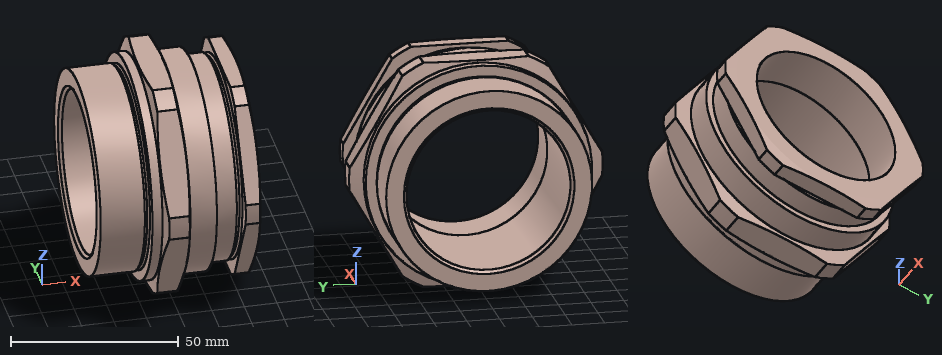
import cadquery as cq
import math


thread_length = 13.6
groove_x = 14.5
collar_start = 15.2
hex_start = 18.3
hex_end = 27.0
housing_end = 35.1
nut_thread_end = 41.8
nut_groove_x = 42.9
nut_hex_start = 43.55
total_length = 48.9

thread_radius = 31.5
groove_radius = 30.55
nut_groove_radius = 30.3
groove_shoulder_radius = 31.2
collar_radius = 34.6
sleeve_radius = 33.95
hex_flats = 70.5
hex_corner_radius = 38.75
nut_flats = 64.95
nut_corner_radius = 35.7
nut_face_radius = 32.25
bore_radius = 25.0
bore_mouth_radius = 26.05
bore_mouth_depth = bore_mouth_radius - bore_radius

corner_chamfer_slope = math.tan(math.radians(15))


def turned(profile):
    """Revolve a closed (x, radius) profile about the X axis."""
    return cq.Workplane("XY").polyline(profile).close().revolve(360, (0, 0), (1, 0))


def hexagon(start, end, flats, corner_radius, start_radius, end_radius):
    """Hexagon with flats facing +-Z, turned corners and end faces coned down to the given radii."""
    across_corners = flats / math.cos(math.radians(30))
    prism = (
        cq.Workplane("YZ", origin=(start, 0, 0))
        .polygon(6, across_corners)
        .extrude(end - start)
    )
    envelope = [(start, 0), (start, start_radius)]
    if start_radius < corner_radius:
        start_chamfer = (corner_radius - start_radius) * corner_chamfer_slope
        envelope.append((start + start_chamfer, corner_radius))
    end_chamfer = (corner_radius - end_radius) * corner_chamfer_slope
    envelope += [(end - end_chamfer, corner_radius), (end, end_radius), (end, 0)]
    return prism.intersect(turned(envelope))


def make_housing():
    barrel = turned([
        (0, 0),
        (0, thread_radius),
        (thread_length, thread_radius),
        (groove_x, groove_radius),
        (collar_start, groove_shoulder_radius),
        (collar_start, collar_radius),
        (hex_start, collar_radius),
        (hex_start, sleeve_radius),
        (housing_end, sleeve_radius),
        (housing_end, 0),
    ])
    wrench_hex = hexagon(hex_start, hex_end, hex_flats, hex_corner_radius, collar_radius, sleeve_radius)
    bore = turned([
        (0, 0),
        (0, bore_mouth_radius),
        (bore_mouth_depth, bore_radius),
        (housing_end, bore_radius),
        (housing_end, 0),
    ])
    return barrel.union(wrench_hex).cut(bore)


def make_sealing_nut():
    barrel = turned([
        (housing_end, 0),
        (housing_end, thread_radius),
        (nut_thread_end, thread_radius),
        (nut_groove_x, nut_groove_radius),
        (nut_hex_start, groove_shoulder_radius),
        (nut_hex_start, 0),
    ])
    wrench_hex = hexagon(
        nut_hex_start, total_length, nut_flats, nut_corner_radius, nut_corner_radius, nut_face_radius
    )
    bore = (
        cq.Workplane("YZ", origin=(housing_end, 0, 0))
        .circle(bore_radius)
        .extrude(total_length - housing_end)
    )
    return barrel.union(wrench_hex).cut(bore)


housing = make_housing()
sealing_nut = make_sealing_nut()

result = cq.Compound.makeCompound([housing.val(), sealing_nut.val()])